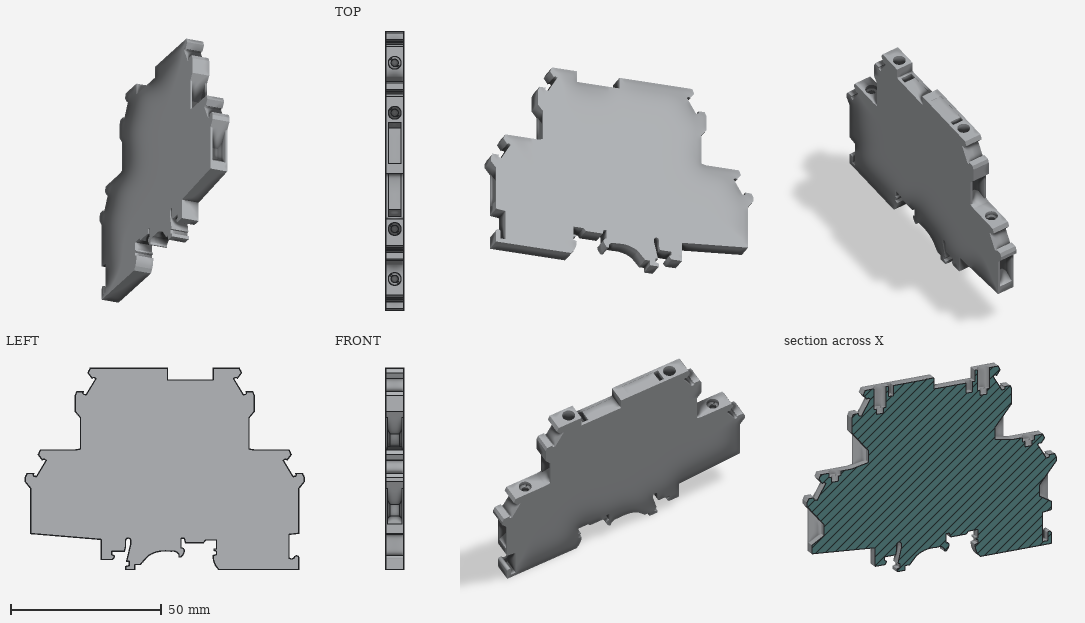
import cadquery as cq
thickness = 6.1
height = 67.1
half_length = 46.5

upper_wall = 28.1
upper_jaw_tip = 29.85
upper_jaw_base = 52.7
step_right = -16.1
step_left = -0.9
step_depth = 3.9

lower_wall = 44.6
lower_jaw_base = 29.3
tier_drop = 27.25
tier_shift = 16.6
ledge_height = height - tier_drop
ledge_rise_start = 29.85
ledge_slope = 0.2
ledge_end_height = ledge_height + ledge_slope * (ledge_rise_start - upper_wall)
wall_bottom = 12.0

groove_wall = 41.4
lip_inner = 43.15
groove_floor = 1.4
groove_skin = 0.7
lip_top = 4.65

funnel_width = 4.7
funnel_depth = 4.5
funnel_back_width = 3.1
funnel_taper_depth = 1.1
roof_slope = 1.2
lower_floor_front = 15.2
lower_floor_slope = 0.6

upper_screw = 19.3
lower_screw = upper_screw + tier_shift + 0.1
bore_diameter = 4.3
screw_hole_diameter = 2.4
upper_bore_depth = 7.4
lower_bore_depth = 1.6
screw_hole_depth = 1.9
driver_slot_width = 0.6
driver_slot_depth = 0.6
driver_slot_angle = -45

slot_width = 4.2
slot_recess = 0.1
pit_depth = 3.7
left_slot = (2.4, 16.1)
left_pit_start = 14.3
right_slot = (step_left, -15.2)
right_pit_start = -12.9


def roof_height(jaw_base, jaw_tip, y):
    """Height of the sloping clamp underside, which carries on inwards as the funnel roof."""
    return jaw_base - roof_slope * (jaw_tip - y)


def tier_profile(shift, drop, jaw_tip, jaw_base, wall):
    """Clamp profile of one tier as (distance from middle, height), from its top edge down to its wall."""
    notched = [
        (24.8, 67.1),
        (25.6, 65.6),
        (24.2, 63.7),
        (23.9, 64.0),
        (23.4, 64.0),
        (23.0, 63.6),
        (26.2, 58.2),
        (26.5, 58.4),
        (27.0, 58.4),
        (27.25, 58.8),
        (27.1, 59.3),
        (29.3, 59.3),
    ]
    points = [(y + shift, z - drop) for y, z in notched]
    points.append((jaw_tip, 58.0 - drop))
    points.append((jaw_tip, jaw_base))
    points.append((wall, roof_height(jaw_base, jaw_tip, wall)))
    return points


def side_profile():
    """Both tiers of one end, from the top edge down to the lower wall."""
    upper = tier_profile(0, 0, upper_jaw_tip, upper_jaw_base, upper_wall)
    ledge = [(upper_wall, ledge_end_height), (ledge_rise_start, ledge_height)]
    lower = tier_profile(tier_shift, tier_drop, half_length, lower_jaw_base, lower_wall)
    return upper + ledge + lower


def draw_foot(outline):
    """Rail foot along the underside, from the +Y wall to the -Y wall."""
    outline = (
        outline
        .lineTo(lower_wall, wall_bottom)
        .lineTo(21.2, 10.0)
        .lineTo(21.2, 3.35)
        .lineTo(17.7, 3.35)
        .threePointArc((17.0, 3.8), (16.7, 4.6))
        .lineTo(17.6, 5.0)
        .lineTo(17.6, 6.1)
        .lineTo(13.4, 6.1)
        .lineTo(13.0, 7.7)
        .lineTo(13.0, 9.7)
        .threePointArc((12.2, 10.5), (11.3, 9.7))
        .lineTo(11.3, 8.6)
        .lineTo(12.7, 2.8)
        .lineTo(11.9, 2.8)
        .lineTo(11.9, 1.4)
        .lineTo(13.0, 1.1)
        .lineTo(13.0, 0)
        .lineTo(9.95, 0)
        .lineTo(9.95, 1.7)
        .lineTo(8.2, 1.7)
        .lineTo(5.6, 4.6)
        .threePointArc((2.8, 5.9), (-0.3, 6.2))
        .lineTo(-2.2, 6.1)
        .threePointArc((-4.1, 5.8), (-4.7, 5.0))
        .lineTo(-4.7, 4.2)
        .lineTo(-5.3, 4.2)
        .threePointArc((-6.1, 5.1), (-6.6, 6.5))
        .lineTo(-5.95, 7.3)
        .lineTo(-5.5, 7.3)
        .lineTo(-5.5, 10.4)
        .lineTo(-6.5, 10.4)
        .lineTo(-6.9, 8.9)
        .lineTo(-12.8, 8.9)
        .lineTo(-13.7, 9.9)
        .lineTo(-17.2, 9.9)
        .lineTo(-17.2, 7.0)
        .lineTo(-16.4, 7.0)
        .lineTo(-16.4, 6.4)
        .lineTo(-17.2, 6.1)
        .lineTo(-17.2, 5.0)
        .lineTo(-16.1, 4.7)
        .threePointArc((-16.4, 2.7), (-17.0, 1.2))
        .lineTo(-18.0, 0)
        .lineTo(-lower_wall, 0)
        .lineTo(-lower_wall, 3.7)
        .threePointArc((-43.9, lip_top), (-lip_inner, 4.1))
        .threePointArc((-42.2, 3.6), (-groove_wall, 4.0))
        .lineTo(-groove_wall, 11.7)
        .lineTo(-lower_wall, 12.1)
    )
    return outline


def make_body():
    side = side_profile()
    outline = cq.Workplane("YZ").moveTo(*side[0])
    for y, z in side[1:]:
        outline = outline.lineTo(y, z)
    outline = draw_foot(outline)
    for y, z in reversed(side):
        outline = outline.lineTo(-y, z)
    outline = (
        outline
        .lineTo(step_right, height)
        .lineTo(step_right, height - step_depth)
        .lineTo(step_left, height - step_depth)
        .lineTo(step_left, height)
        .close()
    )
    return outline.extrude(thickness / 2, both=True)


def make_funnel(wall, jaw_base, jaw_tip, floor_front, floor_slope):
    """Wire funnel in the +Y wall: sloping roof and floor, sides drawn in at the inner end."""
    back = wall - funnel_depth
    taper_start = back + funnel_taper_depth
    side_view = (
        cq.Workplane("YZ")
        .polyline([
            (wall, floor_front),
            (wall, roof_height(jaw_base, jaw_tip, wall)),
            (back, roof_height(jaw_base, jaw_tip, back)),
            (back, floor_front + floor_slope * funnel_depth),
        ])
        .close()
        .extrude(funnel_width / 2, both=True)
    )
    plan_view = (
        cq.Workplane("XY")
        .polyline([
            (-funnel_width / 2, wall),
            (-funnel_width / 2, taper_start),
            (-funnel_back_width / 2, back),
            (funnel_back_width / 2, back),
            (funnel_width / 2, taper_start),
            (funnel_width / 2, wall),
        ])
        .close()
        .extrude(height)
    )
    return side_view.intersect(plan_view)


def make_deep_groove():
    """Deeper part of the marker groove, open on the +X face."""
    return (
        cq.Workplane("XY")
        .box(
            thickness - groove_skin,
            lip_inner - groove_wall,
            lip_top - groove_floor,
            centered=False,
        )
        .translate((groove_skin - thickness / 2, -lip_inner, groove_floor))
    )


def make_screw_hole(y, top, bore_depth):
    """Counterbored screw hole going down from the given height, with a driver slot across its floor."""
    bore = cq.Workplane("XY", origin=(0, y, top)).circle(bore_diameter / 2).extrude(-bore_depth)
    hole = (
        cq.Workplane("XY", origin=(0, y, top - bore_depth))
        .circle(screw_hole_diameter / 2)
        .extrude(-screw_hole_depth)
    )
    driver_slot = (
        cq.Workplane("XY")
        .rect(bore_diameter, driver_slot_width)
        .extrude(-driver_slot_depth)
        .rotate((0, 0, 0), (0, 0, 1), driver_slot_angle)
        .translate((0, y, top - bore_depth))
    )
    floor_disc = (
        cq.Workplane("XY", origin=(0, y, top - bore_depth))
        .circle(bore_diameter / 2)
        .extrude(-driver_slot_depth)
    )
    return bore.union(hole).union(driver_slot.intersect(floor_disc))


def make_recess(start, end, top, depth):
    """Rectangular recess between two places along Y."""
    return (
        cq.Workplane("XY", origin=(0, (start + end) / 2, top))
        .rect(slot_width, abs(end - start))
        .extrude(-depth)
    )


result = make_body().cut(make_deep_groove())

funnels = [
    make_funnel(upper_wall, upper_jaw_base, upper_jaw_tip, ledge_end_height, ledge_slope),
    make_funnel(lower_wall, lower_jaw_base, half_length, lower_floor_front, lower_floor_slope),
]
for funnel in funnels:
    result = result.cut(funnel).cut(funnel.mirror("XZ"))

for side in (1, -1):
    result = result.cut(make_screw_hole(side * upper_screw, height, upper_bore_depth))
    result = result.cut(make_screw_hole(side * lower_screw, ledge_height, lower_bore_depth))

step_height = height - step_depth
for slot, pit_start, top in (
    (left_slot, left_pit_start, height),
    (right_slot, right_pit_start, step_height),
):
    result = result.cut(make_recess(slot[0], slot[1], top, slot_recess))
    result = result.cut(make_recess(pit_start, slot[1], top, pit_depth))